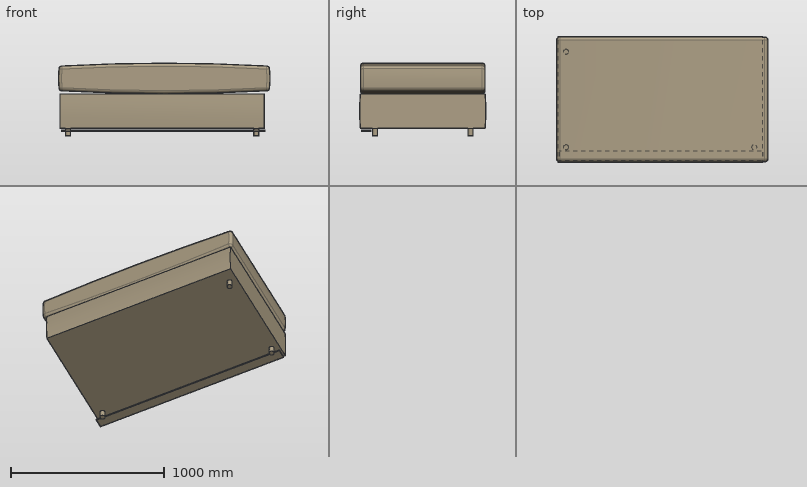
import cadquery as cq

LEG_DIAMETER = 33.0
LEG_HEIGHT = 50.0
LEG_SPACING_X = 1225.0
LEG_SPACING_Y = 622.0

BASE_LENGTH = 1331.0
BASE_EDGE_WIDTH = 813.0
BASE_BULGE = 5.0
BASE_HEIGHT = 225.0
BASE_CENTER_X = -14.0

CUSHION_LENGTH = 1378.0
CUSHION_WIDTH = 813.0
CUSHION_HEIGHT = 200.0
CUSHION_END_BULGE = 5.0
CUSHION_FACE_BULGE = 19.0
CUSHION_FILLET = 20.0

RAIL_LENGTH = 1327.0
RAIL_WIDTH = 62.0
RAIL_THICKNESS = 10.0
RAIL_CENTER_X = -7.0
RAIL_CENTER_Y = -367.0
RAIL_BOTTOM = 28.0

BASE_TOP = LEG_HEIGHT + BASE_HEIGHT


def make_cushion():
    """Pillow outline of four arcs, extruded along Y and rounded on every edge."""
    crown_x = CUSHION_LENGTH / 2
    crown_z = CUSHION_HEIGHT / 2
    corner_x = crown_x - CUSHION_END_BULGE
    corner_z = crown_z - CUSHION_FACE_BULGE
    return (
        cq.Workplane("XZ", origin=(0, 0, BASE_TOP + crown_z))
        .moveTo(-corner_x, -corner_z)
        .threePointArc((0, -crown_z), (corner_x, -corner_z))
        .threePointArc((crown_x, 0), (corner_x, corner_z))
        .threePointArc((0, crown_z), (-corner_x, corner_z))
        .threePointArc((-crown_x, 0), (-corner_x, -corner_z))
        .close()
        .extrude(CUSHION_WIDTH / 2, both=True)
        .edges()
        .fillet(CUSHION_FILLET)
    )


def make_base():
    """Box with flat ends and arched front and back faces, extruded along X."""
    edge_y = BASE_EDGE_WIDTH / 2
    crown_y = edge_y + BASE_BULGE
    middle_z = LEG_HEIGHT + BASE_HEIGHT / 2
    return (
        cq.Workplane("YZ", origin=(BASE_CENTER_X, 0, 0))
        .moveTo(-edge_y, LEG_HEIGHT)
        .lineTo(edge_y, LEG_HEIGHT)
        .threePointArc((crown_y, middle_z), (edge_y, BASE_TOP))
        .lineTo(-edge_y, BASE_TOP)
        .threePointArc((-crown_y, middle_z), (-edge_y, LEG_HEIGHT))
        .close()
        .extrude(BASE_LENGTH / 2, both=True)
    )


def make_rail():
    """Flat bar that runs along the front."""
    return cq.Workplane("XY", origin=(RAIL_CENTER_X, RAIL_CENTER_Y, RAIL_BOTTOM)).box(
        RAIL_LENGTH, RAIL_WIDTH, RAIL_THICKNESS, centered=(True, True, False)
    )


def make_leg(x, y):
    """Round leg from the floor to the underside of the base."""
    return cq.Workplane("XY", origin=(x, y, 0)).circle(LEG_DIAMETER / 2).extrude(LEG_HEIGHT)


left_x = BASE_CENTER_X - LEG_SPACING_X / 2
right_x = BASE_CENTER_X + LEG_SPACING_X / 2
front_y = -LEG_SPACING_Y / 2
back_y = LEG_SPACING_Y / 2

cushion = make_cushion()
base = make_base()
rail = make_rail()
leg_places = [(left_x, front_y), (left_x, back_y), (right_x, front_y)]
legs = [make_leg(x, y) for x, y in leg_places]

result = cq.Compound.makeCompound(
    [cushion.val(), base.val(), rail.val(), *[leg.val() for leg in legs]]
)